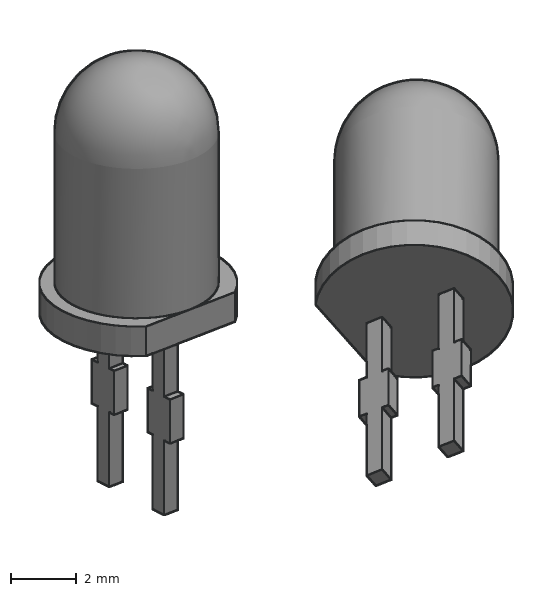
import cadquery as cq

total_height = 14.78
flange_bottom = 6.22
flange_thickness = 1.0
tab_bottom = 2.53
tab_height = 1.5

flange_sides = 40
flange_diameter = 6.02
overall_width = 5.42

lens_diameter = 5.0

lead_size = 0.55
lead_pitch = 2.54
lead_middle_x = -0.03
tab_width = 1.03
tab_pitch = 2.59

flange_top = flange_bottom + flange_thickness
flat_x = overall_width - flange_diameter / 2
lens_radius = lens_diameter / 2
lens_x = flat_x - lens_radius
dome_base = total_height - lens_radius


def make_flange():
    disc = (
        cq.Workplane("XY")
        .workplane(offset=flange_bottom)
        .polygon(flange_sides, flange_diameter)
        .extrude(flange_thickness)
    )
    left_of_flat = (
        cq.Workplane("XY")
        .box(overall_width, flange_diameter, total_height, centered=(False, True, False))
        .translate((flat_x - overall_width, 0, 0))
    )
    return disc.intersect(left_of_flat)


def make_lens():
    return (
        cq.Workplane("XZ")
        .moveTo(0, flange_bottom)
        .lineTo(lens_radius, flange_bottom)
        .lineTo(lens_radius, dome_base)
        .radiusArc((0, total_height), -lens_radius)
        .close()
        .revolve(360, (0, 0), (0, 1))
        .translate((lens_x, 0, 0))
    )


def make_lead(side):
    """One lead with its tab; side is -1 for the -X lead and +1 for the +X lead."""
    lead_x = lead_middle_x + side * lead_pitch / 2
    tab_x = lead_middle_x + side * tab_pitch / 2
    wire = (
        cq.Workplane("XY")
        .center(lead_x, 0)
        .rect(lead_size, lead_size)
        .extrude(flange_top)
    )
    tab = (
        cq.Workplane("XY")
        .workplane(offset=tab_bottom)
        .center(tab_x, 0)
        .rect(tab_width, lead_size)
        .extrude(tab_height)
    )
    return wire.union(tab)


result = make_flange().union(make_lens())
for side in (-1, 1):
    result = result.union(make_lead(side))